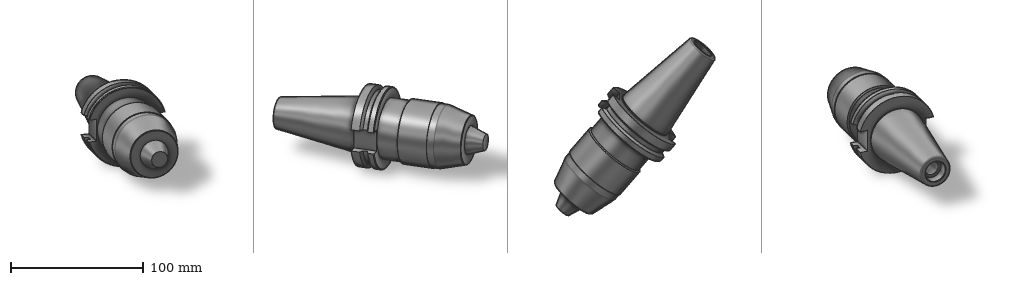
import cadquery as cq

overall_length = 166.4
taper_length = 68.4
taper_end_radius = 22.3
taper_ratio = 7 / 24
taper_small_radius = taper_end_radius - taper_length * taper_ratio / 2
small_end_fillet = 1.0
neck_radius = 22.0

flange_start = 69.4
flange_end = 87.7
flange_radius = 31.8
flange_chamfer = 0.7
groove_center = 79.5
groove_mouth_width = 6.7
groove_floor_width = 3.5
groove_floor_radius = 28.6

slot_width = 17.5
slot_floor_offset = 24.3

body_radius = 23.6
sleeve_start = 103.8
sleeve_radius = 25.1
sleeve_lead_in = 0.8
front_sleeve_start = 127.8
front_sleeve_radius = 24.6
front_cone_start = 133.5
front_cone_end = 153.4
front_cone_radius = 19.1
front_chamfer = 0.5
nose_base_radius = 11.1
nose_tip_radius = 6.3

counterbore_radius = 8.3
counterbore_depth = 7.7
counterbore_chamfer = 0.42
bore_radius = 5.8
bore_depth = 33.3


def revolve_about_x(points):
    return cq.Workplane("XY").polyline(points).close().revolve(360, (0, 0, 0), (1, 0, 0))


def make_taper():
    taper = revolve_about_x([
        (0, 0),
        (0, taper_small_radius),
        (taper_length, taper_end_radius),
        (taper_length, neck_radius),
        (flange_start, neck_radius),
        (flange_start, 0),
    ])
    return taper.faces("<X").edges().fillet(small_end_fillet)


def make_flange():
    half_mouth = groove_mouth_width / 2
    half_floor = groove_floor_width / 2
    flange = revolve_about_x([
        (flange_start, 0),
        (flange_start, flange_radius),
        (groove_center - half_mouth, flange_radius),
        (groove_center - half_floor, groove_floor_radius),
        (groove_center + half_floor, groove_floor_radius),
        (groove_center + half_mouth, flange_radius),
        (flange_end - flange_chamfer, flange_radius),
        (flange_end, flange_radius - flange_chamfer),
        (flange_end, 0),
    ])
    flange_length = flange_end - flange_start
    slot_depth = flange_radius - slot_floor_offset
    slot_center_x = (flange_start + flange_end) / 2
    slot_center_y = slot_floor_offset + slot_depth / 2
    for side in (-1, 1):
        slot = cq.Workplane("XY").box(flange_length, slot_depth, slot_width)
        flange = flange.cut(slot.translate((slot_center_x, side * slot_center_y, 0)))
    return flange


def make_chuck():
    return revolve_about_x([
        (flange_end, 0),
        (flange_end, body_radius),
        (sleeve_start, body_radius),
        (sleeve_start + sleeve_lead_in, sleeve_radius),
        (front_sleeve_start, sleeve_radius),
        (front_sleeve_start, front_sleeve_radius),
        (front_cone_start, front_sleeve_radius),
        (front_cone_end - front_chamfer, front_cone_radius),
        (front_cone_end, front_cone_radius - front_chamfer),
        (front_cone_end, nose_base_radius),
        (overall_length, nose_tip_radius),
        (overall_length, 0),
    ])


def make_bore():
    return revolve_about_x([
        (0, 0),
        (0, counterbore_radius + counterbore_chamfer),
        (counterbore_chamfer, counterbore_radius),
        (counterbore_depth, counterbore_radius),
        (counterbore_depth, bore_radius),
        (bore_depth, bore_radius),
        (bore_depth, 0),
    ])


result = make_taper().union(make_flange()).union(make_chuck()).cut(make_bore())